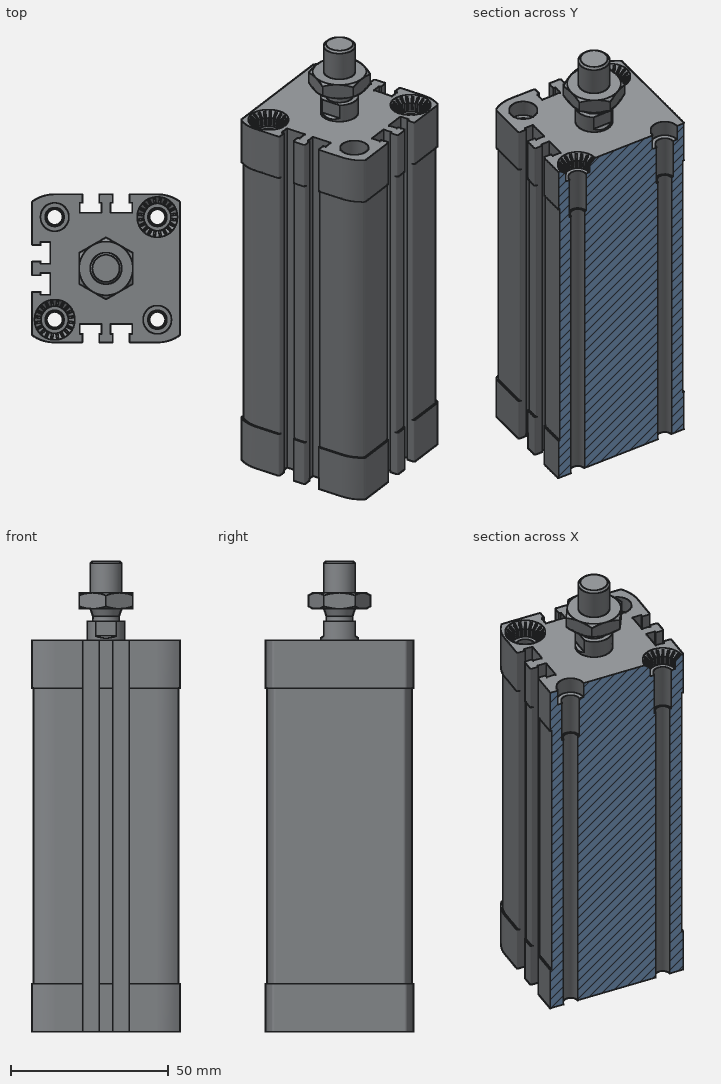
import cadquery as cq
import math

width = 47.0
housing_height = 124.0
cap_height = 15.2
tube_inset = 0.5
half_width = width / 2

corner_flat_end = 16.3
corner_side_end = 21.1
corner_edge_radius = 1.0

slot_neck_inner = 2.2
slot_neck_outer = 7.4
slot_neck_depth = 2.8
slot_inner = 1.5
slot_outer = 8.3
slot_depth = 5.85
lip_radius = 0.4

hole_offset = 32.5 / 2
thread_diameter = 6.0
core_diameter = 4.92
thread_depth = 20.0
centring_diameter = 9.0
centring_depth = 5.5

socket_rim_diameter = 12.8
socket_step_diameter = 11.9
socket_bore_diameter = 8.65
socket_rim_depth = 0.4
socket_cone_depth = 1.9
socket_groove_depth = 4.35
socket_depth = 4.95
socket_grooves = 20
socket_groove_width = 0.6

rod_diameter = 12.0
rod_shoulder = 6.0
rod_insertion = cap_height
flat_across = 10.0
flat_start = 1.3
flat_end = 0.6
thread_outer = 10.0
thread_minor = 8.57
thread_end = 25.0
tip_chamfer = (thread_outer - thread_minor) / 2
relief_diameter = 8.4
relief_bottom = 6.8
relief_top = 7.6
relief_cone_top = 9.9

nut_across_flats = 17.0
nut_height = 5.0
nut_base = 9.9
nut_chamfer_angle = 30.0


def profile(inset):
    """Closed outline of the housing, moved inwards by the inset."""
    face = half_width - inset
    run = face - corner_flat_end
    rise = half_width - corner_side_end
    radius = (run ** 2 + rise ** 2) / (2 * rise)
    side = face - rise
    sweep = math.asin(run / radius) / 2
    mid_x = corner_flat_end + radius * math.sin(sweep)
    mid_y = face - radius * (1 - math.cos(sweep))
    return (
        cq.Workplane("XY")
        .moveTo(-corner_flat_end, face)
        .lineTo(corner_flat_end, face)
        .threePointArc((mid_x, mid_y), (face, side))
        .lineTo(face, -side)
        .threePointArc((mid_x, -mid_y), (corner_flat_end, -face))
        .lineTo(-corner_flat_end, -face)
        .threePointArc((-mid_x, -mid_y), (-face, -side))
        .lineTo(-face, side)
        .threePointArc((-mid_x, mid_y), (-corner_flat_end, face))
        .close()
    )


def profile_block(inset, height):
    """Solid length of the housing with its corner edges rounded; base at Z = 0."""
    block = profile(inset).extrude(height)
    return block.edges("|Z and (>X or <X)").fillet(corner_edge_radius)


def slot_pair(face):
    """Two mirrored T-slots in the -X face at the given distance, with rounded lips."""
    r = lip_radius
    bend = r * (1 - math.sqrt(0.5))
    neck_floor = half_width - slot_neck_depth
    floor = half_width - slot_depth
    slot = (
        cq.Workplane("XY")
        .moveTo(-face, slot_neck_inner - r)
        .threePointArc((-face + bend, slot_neck_inner - bend), (-face + r, slot_neck_inner))
        .lineTo(-neck_floor, slot_neck_inner)
        .lineTo(-neck_floor, slot_inner)
        .lineTo(-floor, slot_inner)
        .lineTo(-floor, slot_outer)
        .lineTo(-neck_floor, slot_outer)
        .lineTo(-neck_floor, slot_neck_outer)
        .lineTo(-face + r, slot_neck_outer)
        .threePointArc((-face + bend, slot_neck_outer + bend), (-face, slot_neck_outer + r))
        .close()
        .extrude(housing_height)
    )
    return slot.union(slot.mirror("XZ"))


def fixing_hole():
    """Core hole right through the housing with a thread-size bore above; top at Z = 0."""
    core = cq.Workplane("XY").circle(core_diameter / 2).extrude(-housing_height)
    thread = cq.Workplane("XY").circle(thread_diameter / 2).extrude(-thread_depth)
    return core.union(thread)


def centring():
    """Plain round recess around the mouth of a fixing hole; top at Z = 0."""
    return cq.Workplane("XY").circle(centring_diameter / 2).extrude(-centring_depth)


def socket():
    """Stepped recess whose wall carries a ring of upright grooves; top at Z = 0."""
    bore_radius = socket_bore_diameter / 2
    recess = (
        cq.Workplane("XZ")
        .moveTo(0, 0)
        .lineTo(socket_rim_diameter / 2, 0)
        .lineTo(socket_step_diameter / 2, -socket_rim_depth)
        .lineTo(bore_radius, -socket_cone_depth)
        .lineTo(bore_radius, -socket_depth)
        .lineTo(0, -socket_depth)
        .close()
        .revolve()
    )
    bar = (
        cq.Workplane("XY")
        .rect(socket_step_diameter, socket_groove_width)
        .extrude(-socket_groove_depth)
    )
    pitch = 360 / socket_grooves
    for number in range(socket_grooves // 2):
        recess = recess.union(bar.rotate((0, 0, 0), (0, 0, 1), (number + 0.5) * pitch))
    return recess


def make_section(inset, base, height):
    """Length of housing with slots in its -X, -Y and +Y faces."""
    section = profile_block(inset, height)
    slots = slot_pair(half_width - inset)
    for angle in (0, 90, -90):
        section = section.cut(slots.rotate((0, 0, 0), (0, 0, 1), angle))
    return section.translate((0, 0, base))


def make_housing():
    """Two end caps and the slightly slimmer tube between them, as one solid."""
    tube_height = housing_height - 2 * cap_height
    body = make_section(tube_inset, cap_height, tube_height)
    for base in (0, housing_height - cap_height):
        body = body.union(make_section(0, base, cap_height))
    for sx in (-1, 1):
        for sy in (-1, 1):
            mouth = socket() if sx == sy else centring()
            tool = fixing_hole().union(mouth)
            body = body.cut(tool.translate((sx * hole_offset, sy * hole_offset, housing_height)))
    rod_hole = cq.Workplane("XY").circle(rod_diameter / 2).extrude(-rod_insertion)
    return body.cut(rod_hole.translate((0, 0, housing_height)))


def make_rod():
    """Piston rod with two wrench flats, a necked relief and a chamfered thread."""
    rod = (
        cq.Workplane("XZ")
        .moveTo(0, -rod_insertion)
        .lineTo(rod_diameter / 2, -rod_insertion)
        .lineTo(rod_diameter / 2, rod_shoulder)
        .lineTo(thread_minor / 2, rod_shoulder)
        .lineTo(relief_diameter / 2, relief_bottom)
        .lineTo(relief_diameter / 2, relief_top)
        .lineTo(thread_outer / 2, relief_cone_top)
        .lineTo(thread_outer / 2, thread_end - tip_chamfer)
        .lineTo(thread_minor / 2, thread_end)
        .lineTo(0, thread_end)
        .close()
        .revolve()
    )
    for side in (-1, 1):
        cutter = (
            cq.Workplane("YZ")
            .moveTo(side * flat_across / 2, rod_shoulder)
            .lineTo(side * flat_across / 2, flat_start)
            .lineTo(side * rod_diameter / 2, flat_end)
            .lineTo(side * rod_diameter / 2, rod_shoulder)
            .close()
            .extrude(rod_diameter / 2, both=True)
        )
        rod = rod.cut(cutter)
    return rod.translate((0, 0, housing_height))


def make_nut():
    """Hexagon nut with both faces chamfered, standing around the rod thread."""
    across_corners = nut_across_flats / math.cos(math.pi / 6)
    hexagon = (
        cq.Workplane("XY").polygon(6, across_corners).extrude(nut_height)
        .rotate((0, 0, 0), (0, 0, 1), 90)
    )
    overhang = (across_corners - nut_across_flats) / 2
    drop = overhang * math.tan(math.radians(nut_chamfer_angle))
    crown = (
        cq.Workplane("XZ")
        .moveTo(0, 0)
        .lineTo(nut_across_flats / 2, 0)
        .lineTo(across_corners / 2, drop)
        .lineTo(across_corners / 2, nut_height - drop)
        .lineTo(nut_across_flats / 2, nut_height)
        .lineTo(0, nut_height)
        .close()
        .revolve()
    )
    bore = cq.Workplane("XY").circle(thread_outer / 2).extrude(nut_height)
    return hexagon.intersect(crown).cut(bore).translate((0, 0, housing_height + nut_base))


housing = make_housing()
rod = make_rod()
nut = make_nut()
result = cq.Compound.makeCompound([housing.val(), rod.val(), nut.val()])